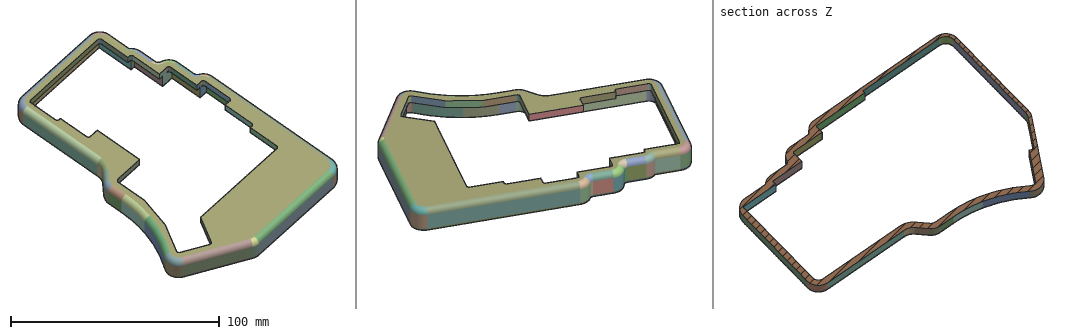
import cadquery as cq
import math


KEY_W = 18.0
FIRST_COLUMN_DEPTH = 51.2
COLUMN_STEPS = [2.375, 6.7, 4.5, -4.5, -2.375]
LOWER_STEPS = [2.15, 6.3]
COLUMN_COUNT = len(COLUMN_STEPS) + 1
TALLEST_COLUMN = 3
THUMB_KEYS = 3
THUMB_D = 17.5
THUMB_TILT = 15.0
THUMB_OFFSET_COLUMNS = 3.5

HEIGHT = 12.0
LENGTH_X = 144.0
LENGTH_Y = 98.62
BORDER = 5.75
THUMB_BORDER = 6.15
PLATE = 4.0
CORNER_R = 7.0
OPENING_R = 1.25
TOP_FILLET = 3.0
RIM_CHAMFER_HEIGHT = 1.0
RIM_CHAMFER_ANGLE = 15.0
RIM_CHAMFER_INSET = RIM_CHAMFER_HEIGHT * math.tan(math.radians(RIM_CHAMFER_ANGLE))

WALL = 3.4
THUMB_WALL = 4.5
BAY_WALL = 2.0
BAY_X = 90.0

SMALL_STEP_R = 0.3
LARGE_STEP_R = 2.0
PALM_BEND_R = 7.0
PALM_BEND_X = 69.2
PALM_BEND_ANGLE = 45.0
THUMB_CURVE_START_X = 77.8
THUMB_CURVE_R = 63.5

MIN_EDGE = 1e-4


def direction(angle):
    return math.cos(math.radians(angle)), math.sin(math.radians(angle))


def moved(point, angle, distance):
    dx, dy = direction(angle)
    return point[0] + distance * dx, point[1] + distance * dy


def rounded_polygon(corners):
    """Closed wire through (x, y, radius) corners, each rounded by a tangent arc."""
    edges = []
    trimmed = []
    count = len(corners)
    for i in range(count):
        x, y, radius = corners[i]
        here = cq.Vector(x, y)
        to_last = (cq.Vector(*corners[i - 1][:2]) - here).normalized()
        to_next = (cq.Vector(*corners[(i + 1) % count][:2]) - here).normalized()
        half = to_last.getAngle(to_next) / 2
        reach = radius / math.tan(half)
        bisector = (to_last + to_next).normalized()
        middle = here + bisector * (radius / math.sin(half) - radius)
        trimmed.append((here + to_last * reach, middle, here + to_next * reach))
    for i in range(count):
        start, middle, end = trimmed[i]
        if corners[i][2] > 0:
            edges.append(cq.Edge.makeThreePointArc(start, middle, end))
        following = trimmed[(i + 1) % count][0]
        if (following - end).Length > MIN_EDGE:
            edges.append(cq.Edge.makeLine(end, following))
    return cq.Wire.assembleEdges(edges)


def sharp_polygon(points):
    return cq.Wire.makePolygon([cq.Vector(*point) for point in points], close=True)


def prism(wire, height):
    return cq.Workplane(cq.Solid.extrudeLinear(wire, [], cq.Vector(0, 0, height)))


column_x = [BORDER + i * KEY_W for i in range(COLUMN_COUNT + 1)]
column_top = [LENGTH_Y - BORDER - sum(COLUMN_STEPS[:TALLEST_COLUMN])]
for step in COLUMN_STEPS:
    column_top.append(column_top[-1] + step)
column_bottom = [column_top[0] - FIRST_COLUMN_DEPTH]
for step in LOWER_STEPS:
    column_bottom.append(column_bottom[-1] + step)

lean = (THUMB_KEYS - 1) * THUMB_TILT
cos_lean, sin_lean = direction(lean)
thumb_inset = CORNER_R - THUMB_BORDER
thumb_tip_y = CORNER_R - thumb_inset * (cos_lean + sin_lean)
thumb_x = BORDER + THUMB_OFFSET_COLUMNS * KEY_W
thumb_y = thumb_tip_y + KEY_W * sum(direction(i * THUMB_TILT)[1] for i in range(THUMB_KEYS))
thumb_points = [(thumb_x, thumb_y)]
for i in range(THUMB_KEYS):
    thumb_points.append(moved(thumb_points[-1], -i * THUMB_TILT, KEY_W))
thumb_tip = thumb_points[-1]
thumb_far = moved(thumb_tip, 90 - lean, THUMB_D)
thumb_join_rise = (thumb_far[0] - column_x[-1]) * math.tan(math.radians(lean))
thumb_join = (column_x[-1], thumb_far[1] + thumb_join_rise)
level_y = thumb_y - THUMB_BORDER


def opening_wire():
    """Edge of the key opening, clockwise from the palm block."""
    lower_left = [
        (column_x[2], column_bottom[2], 0),
        (column_x[2], column_bottom[1], OPENING_R),
        (column_x[1], column_bottom[1], 0),
        (column_x[1], column_bottom[0], OPENING_R),
        (column_x[0], column_bottom[0], OPENING_R),
    ]
    top = [(column_x[0], column_top[0], OPENING_R)]
    for i, step in enumerate(COLUMN_STEPS):
        x = column_x[i + 1]
        rising = step > 0
        top.append((x, column_top[i], 0 if rising else OPENING_R))
        top.append((x, column_top[i + 1], OPENING_R if rising else 0))
    top.append((column_x[-1], column_top[-1], OPENING_R))
    thumb = [
        (*thumb_join, 0),
        (*thumb_far, OPENING_R),
        (*thumb_tip, OPENING_R),
        (*thumb_points[2], 0),
        (*thumb_points[1], 0),
        (*thumb_points[0], OPENING_R),
        (thumb_x, column_bottom[2], 0),
    ]
    return rounded_polygon(lower_left + top + thumb)


def step_corners(low_y, high_y, top_start_x, blend_r):
    """The two corners of an S-bend whose arcs meet without a straight."""
    rise = high_y - low_y
    angle = math.acos(1 - rise / (CORNER_R + blend_r))
    high_x = top_start_x - CORNER_R * math.tan(angle / 2)
    low_x = high_x - rise / math.tan(angle)
    return [(low_x, low_y, blend_r), (high_x, high_y, CORNER_R)]


def thumb_edge():
    """Outline corners around the thumb tip and along two tangent arcs to the level edge."""
    tip_centre = moved(moved(thumb_tip, 90 - lean, thumb_inset), 180 - lean, thumb_inset)
    bend_reach = THUMB_CURVE_R * math.tan(math.radians(THUMB_TILT / 2))
    bend = (THUMB_CURVE_START_X + bend_reach, level_y)
    join = moved(bend, -THUMB_TILT, bend_reach)

    normal_x, normal_y = direction(90 - THUMB_TILT)
    dx = join[0] - tip_centre[0]
    dy = join[1] - tip_centre[1]
    sweep_r = (dx**2 + dy**2 - CORNER_R**2) / (2 * (CORNER_R + dx * normal_x + dy * normal_y))
    sweep_centre_x = join[0] - sweep_r * normal_x
    slope = math.degrees(math.asin((tip_centre[0] - sweep_centre_x) / (sweep_r + CORNER_R)))
    sweep_reach = sweep_r * math.tan(math.radians(slope - THUMB_TILT) / 2)
    sweep = moved(join, -THUMB_TILT, sweep_reach)

    half_turn = (90 + slope - lean) / 2
    tip_reach = CORNER_R / math.cos(math.radians(half_turn))
    tip = moved(tip_centre, -lean - half_turn, tip_reach)
    return [(*tip, CORNER_R), (*sweep, sweep_r), (*bend, THUMB_CURVE_R)]


def outline_wire():
    """Outer edge of the case, clockwise from the lower left corner."""
    outer_top = [y + BORDER for y in column_top]
    bottom_y = column_bottom[0] - BORDER
    corners = [(0, bottom_y, CORNER_R), (0, outer_top[0], CORNER_R)]
    for i, blend_r in enumerate([SMALL_STEP_R, LARGE_STEP_R, LARGE_STEP_R]):
        start_x = column_x[i + 1] + OPENING_R
        corners += step_corners(outer_top[i], outer_top[i + 1], start_x, blend_r)

    outer_tip = moved(moved(thumb_tip, -lean, THUMB_BORDER), -90 - lean, THUMB_BORDER)
    side_y = outer_tip[1] + (LENGTH_X - outer_tip[0]) / math.tan(math.radians(lean))
    corners += [(LENGTH_X, LENGTH_Y, CORNER_R), (LENGTH_X, side_y, CORNER_R)]
    corners += thumb_edge()

    bend_x = PALM_BEND_X - CORNER_R * math.tan(math.radians(PALM_BEND_ANGLE / 2))
    palm_x = bend_x - (bottom_y - level_y) / math.tan(math.radians(PALM_BEND_ANGLE))
    corners += [(bend_x, level_y, CORNER_R), (palm_x, bottom_y, PALM_BEND_R)]
    return rounded_polygon(corners)


def cavity(outline):
    """Pockets below the key columns and thumb keys, joined to a wider controller bay."""
    depth = HEIGHT - PLATE
    low_y = column_bottom[0]
    seam_y = column_bottom[2]

    thumb_side = moved(thumb_far, -lean, THUMB_BORDER - THUMB_WALL)
    thumb_foot_x = thumb_side[0] - thumb_side[1] * math.tan(math.radians(lean))
    lower_area = sharp_polygon([
        (0, 0),
        (thumb_foot_x, 0),
        thumb_side,
        thumb_join,
        (thumb_join[0], seam_y),
        (0, seam_y),
    ])
    lower_inset = outline.offset2D(-WALL, "arc")[0]
    space = prism(lower_inset, depth).intersect(prism(lower_area, depth))

    for i in range(TALLEST_COLUMN + 1):
        left = column_x[i] if i else WALL
        pocket_length = column_top[i] + BORDER - WALL - low_y
        pocket = cq.Workplane().box(BAY_X - left, pocket_length, depth, centered=False)
        space = space.union(pocket.translate((left, low_y, 0)))

    far_side = moved(thumb_join, -lean, LENGTH_X)
    bay_area = sharp_polygon([
        thumb_join,
        far_side,
        (far_side[0], LENGTH_Y),
        (BAY_X, LENGTH_Y),
        (BAY_X, thumb_join[1]),
    ])
    bay_inset = outline.offset2D(-BAY_WALL, "arc")[0]
    bay = prism(bay_inset, depth).intersect(prism(bay_area, depth))
    return space.union(bay)


case_outline = outline_wire()
body = prism(case_outline, HEIGHT)
body = body.faces(">Z").edges().fillet(TOP_FILLET)
body = body.faces("<Z").edges().chamfer(RIM_CHAMFER_HEIGHT, RIM_CHAMFER_INSET)
result = body.cut(cavity(case_outline)).cut(prism(opening_wire(), HEIGHT))